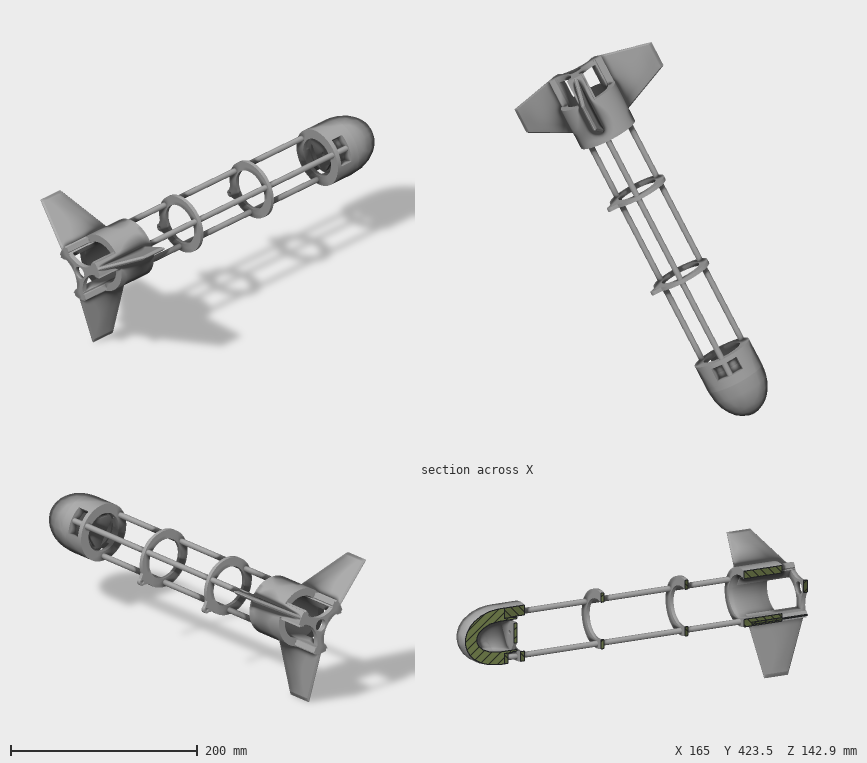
import cadquery as cq
import math

LENGTH = 423.5
BODY_RADIUS = 65.0 / 2
FIN_ANGLES = (30, 150, 270)
GAP_ANGLES = [angle + 60 for angle in FIN_ANGLES]

ROD_RADIUS = 6.5 / 2
ROD_CIRCLE_RADIUS = 27.5

TUBE_REAR = 31.0
TUBE_FRONT = 78.5
TUBE_BORE_RADIUS = 48.3 / 2

RAIL_FRONT = 68.0
RAIL_INNER_RADIUS = 23.0
RAIL_INNER_HALF_WIDTH = 5.5
RAIL_LEDGE_HALF_WIDTH = 7.0
RAIL_SHOULDER_REACH = 29.0
RAIL_SHOULDER_HALF_WIDTH = 9.7
RAIL_NECK_HALF_WIDTH = 7.5
SPIDER_THICKNESS = 5.5
SPIDER_HOLE_RADIUS = 14.0 / 2
SCALLOP_RADIUS = 27.0
SCALLOP_CENTER = 36.5
FIN_TIP_RADIUS = 95.0
FIN_THICKNESS = 4.2
FIN_EDGE_THICKNESS = 1.0
FIN_TIP_BEVEL = 4.5
FIN_ROOT_FRONT = 67.5
FIN_TIP_REAR = 19.0
FIN_TIP_FRONT = 48.0

RING_REARS = (147.0, 250.0)
RING_THICKNESS = 4.2
RING_BORE_RADIUS = 45.0 / 2
LUG_ANGLE = 210
LUG_CENTER_RADIUS = 37.0
LUG_RADIUS = 8.5 / 2
LUG_HOLE_RADIUS = 4.2 / 2
LUG_WEB_HALF_ANGLE = 14

COLLAR_REAR = 348.5
COLLAR_FRONT = 373.0
WINDOW_REAR = 353.5
WINDOW_FRONT = 368.5
WINDOW_OUTER_HALF_WIDTH = 16.5
WINDOW_INNER_HALF_WIDTH = 12.3
WINDOW_INNER_MARGIN = 4.2
WINDOW_OUTER_MARGIN = 1.3

PLUG_REAR = 357.3
PLUG_STEP = 362.8
PLUG_END_RADIUS = 42.5 / 2
PLUG_RADIUS = 43.5 / 2
DOME_BASE = 379.3
DOME_ARC_STEP = 15
NOSE_BORE_RADIUS = 38.0 / 2
NOSE_CAVITY_TOP = 410.5
WEB_FLAT_DISTANCE = 12.5
WEB_THICKNESS = 4.2
WEB_HOLE_RADIUS = 4.5 / 2


def section_plane(y):
    """Plane across the axis at y, with local x along X, local y along Z and normal along -Y."""
    return cq.Workplane("XZ", origin=(0, y, 0))


def cylinder(radius, rear, front, center=(0, 0)):
    return section_plane(rear).center(*center).circle(radius).extrude(rear - front)


def polar(radius, angle):
    return (radius * math.cos(math.radians(angle)), radius * math.sin(math.radians(angle)))


def turned(shape, angle):
    """Turn a shape made along +X to the given angle from +X toward +Z."""
    return shape.rotate((0, 0, 0), (0, 1, 0), -angle)


def rod(angle):
    return cylinder(ROD_RADIUS, RAIL_FRONT, WINDOW_FRONT, polar(ROD_CIRCLE_RADIUS, angle))


def rail():
    """Rail along +X: a ledged inner strip, flanks flaring to two shoulders, then a narrower neck."""
    inner_corner = math.sqrt(RAIL_INNER_RADIUS**2 - RAIL_INNER_HALF_WIDTH**2)
    half_outline = [
        (inner_corner, RAIL_INNER_HALF_WIDTH),
        (TUBE_BORE_RADIUS, RAIL_INNER_HALF_WIDTH),
        (TUBE_BORE_RADIUS, RAIL_LEDGE_HALF_WIDTH),
        (RAIL_SHOULDER_REACH, RAIL_SHOULDER_HALF_WIDTH),
        (RAIL_SHOULDER_REACH, RAIL_NECK_HALF_WIDTH),
        (BODY_RADIUS, RAIL_NECK_HALF_WIDTH),
    ]
    outline = half_outline + [(x, -z) for x, z in reversed(half_outline)]
    prism = section_plane(0).polyline(outline).close().extrude(-RAIL_FRONT)
    prism = prism.cut(cylinder(RAIL_INNER_RADIUS, 0, RAIL_FRONT))
    return prism.intersect(cylinder(BODY_RADIUS, 0, RAIL_FRONT))


def fin():
    """Tapered fin along +X with a bevelled tip and bevelled leading and trailing edges."""
    planform = [
        (ROD_CIRCLE_RADIUS, 0),
        (BODY_RADIUS, 0),
        (FIN_TIP_RADIUS, FIN_TIP_REAR),
        (FIN_TIP_RADIUS, FIN_TIP_FRONT),
        (BODY_RADIUS, FIN_ROOT_FRONT),
        (ROD_CIRCLE_RADIUS, FIN_ROOT_FRONT),
    ]
    half = FIN_THICKNESS / 2
    edge_half = FIN_EDGE_THICKNESS / 2
    half_profile = [
        (0, half),
        (FIN_TIP_RADIUS - FIN_TIP_BEVEL, half),
        (FIN_TIP_RADIUS, edge_half),
    ]
    profile = half_profile + [(x, -z) for x, z in reversed(half_profile)]
    plate = cq.Workplane("XY").polyline(planform).close().extrude(half, both=True)
    plate = plate.faces("|Z").edges("not(|X or |Y)").chamfer(half - edge_half)
    return plate.intersect(section_plane(0).polyline(profile).close().extrude(-RAIL_FRONT))


def make_fin_unit():
    unit = cylinder(TUBE_BORE_RADIUS, 0, SPIDER_THICKNESS)
    for angle in GAP_ANGLES:
        center = polar(SCALLOP_CENTER, angle)
        unit = unit.cut(cylinder(SCALLOP_RADIUS, 0, SPIDER_THICKNESS, center))
    unit = unit.cut(cylinder(SPIDER_HOLE_RADIUS, 0, SPIDER_THICKNESS))
    for angle in FIN_ANGLES:
        unit = unit.union(turned(rail().union(fin()), angle))
    return unit


def make_tail_tube():
    tube = cylinder(BODY_RADIUS, TUBE_REAR, TUBE_FRONT)
    tube = tube.cut(cylinder(TUBE_BORE_RADIUS, TUBE_REAR, TUBE_FRONT))
    for angle in FIN_ANGLES:
        tube = tube.cut(turned(rail(), angle)).cut(rod(angle))
    return tube


def make_ring(rear):
    front = rear + RING_THICKNESS
    lug_center = polar(LUG_CENTER_RADIUS, LUG_ANGLE)
    side = polar(LUG_RADIUS, LUG_ANGLE + 90)
    web = [
        polar(BODY_RADIUS, LUG_ANGLE - LUG_WEB_HALF_ANGLE),
        (lug_center[0] - side[0], lug_center[1] - side[1]),
        (lug_center[0] + side[0], lug_center[1] + side[1]),
        polar(BODY_RADIUS, LUG_ANGLE + LUG_WEB_HALF_ANGLE),
    ]
    ring = (
        cylinder(BODY_RADIUS, rear, front)
        .union(section_plane(rear).polyline(web).close().extrude(-RING_THICKNESS))
        .union(cylinder(LUG_RADIUS, rear, front, lug_center))
        .cut(cylinder(RING_BORE_RADIUS, rear, front))
        .cut(cylinder(LUG_HOLE_RADIUS, rear, front, lug_center))
    )
    for angle in FIN_ANGLES:
        ring = ring.cut(rod(angle))
    return ring


def make_collar():
    """Nose collar with three windows that widen outward and expose the rod ends."""
    collar = cylinder(BODY_RADIUS, COLLAR_REAR, COLLAR_FRONT)
    collar = collar.cut(cylinder(PLUG_RADIUS, COLLAR_REAR, COLLAR_FRONT))
    window_start = PLUG_RADIUS - WINDOW_INNER_MARGIN
    window_end = BODY_RADIUS + WINDOW_OUTER_MARGIN
    outline = [
        (window_start, -WINDOW_INNER_HALF_WIDTH),
        (window_end, -WINDOW_OUTER_HALF_WIDTH),
        (window_end, WINDOW_OUTER_HALF_WIDTH),
        (window_start, WINDOW_INNER_HALF_WIDTH),
    ]
    window = section_plane(WINDOW_REAR).polyline(outline).close().extrude(WINDOW_REAR - WINDOW_FRONT)
    for angle in FIN_ANGLES:
        collar = collar.cut(turned(window, angle)).cut(rod(angle))
    return collar


def dome_solid(radius, rear, base, tip):
    """Cylinder from rear to base, closed by half an ellipsoid that ends at tip."""
    points = [
        (radius * math.cos(math.radians(a)), base + (tip - base) * math.sin(math.radians(a)))
        for a in range(DOME_ARC_STEP, 91, DOME_ARC_STEP)
    ]
    return (
        cq.Workplane("XY")
        .moveTo(0, rear)
        .lineTo(radius, rear)
        .lineTo(radius, base)
        .spline(points, tangents=[(0, 1), (-1, 0)], includeCurrent=True)
        .close()
        .revolve(360, (0, 0, 0), (0, 1, 0))
    )


def make_nose_cone():
    """Hollow dome with a stepped plug, closed at the rear by a drilled three-sided web."""
    cavity = dome_solid(NOSE_BORE_RADIUS, PLUG_REAR, DOME_BASE, NOSE_CAVITY_TOP)
    cone = (
        dome_solid(BODY_RADIUS, COLLAR_FRONT, DOME_BASE, LENGTH)
        .union(cylinder(PLUG_RADIUS, PLUG_STEP, COLLAR_FRONT))
        .union(cylinder(PLUG_END_RADIUS, PLUG_REAR, PLUG_STEP))
        .cut(cavity)
    )
    web_corner = 2 * WEB_FLAT_DISTANCE
    corners = [polar(web_corner, angle) for angle in FIN_ANGLES]
    web = section_plane(PLUG_REAR).polyline(corners).close().extrude(-WEB_THICKNESS)
    web = web.intersect(cylinder(PLUG_END_RADIUS, PLUG_REAR, PLUG_STEP))
    web = web.cut(cylinder(WEB_HOLE_RADIUS, PLUG_REAR, PLUG_STEP))
    return cone.union(web)


rods = [rod(angle) for angle in FIN_ANGLES]
rings = [make_ring(rear) for rear in RING_REARS]
bodies = [make_nose_cone(), make_collar(), *rods, *rings, make_tail_tube(), make_fin_unit()]

result = cq.Compound.makeCompound([body.val() for body in bodies])